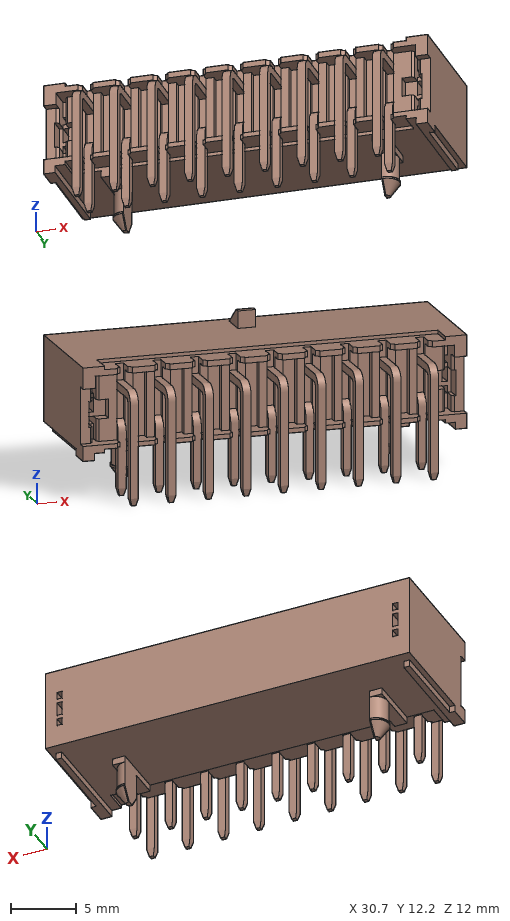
import cadquery as cq


length = 30.7
half_length = length / 2
depth = 9.85
bottom_z = 3.75
top_z = 10.6
foot_z = 3.2

recess_depth = 0.28
recess_half_length = half_length - 1.72
recess_y = 1.9
shelf_corner_radius = 0.28
inside_bottom_z = 4.4
inside_top_z = 9.85

wall_y = 0.98
groove_width = 1.1
groove_depth = 0.58

pin_count = 9
pin_row_length = 24.0
pitch = pin_row_length / (pin_count - 1)
pin_size = 0.65
upper_pin_front_y = -2.35
upper_pin_top_z = 9.0
lower_pin_front_y = 0.68
lower_pin_top_z = upper_pin_top_z - pitch
bend_radius = 0.98
tip_height = 0.58
tip_size = 0.35
pin_slot_y = 1.38
pin_end_y = 2.45
pin_xs = [(i - (pin_count - 1) / 2) * pitch for i in range(pin_count)]
gap_xs = [x + pitch / 2 for x in pin_xs[:-1]]

gap_outer_x = half_length - 0.98
gap_inner_x = half_length - 1.4
gap_end_y = 1.85
gap_edge_chamfer = 0.18
window_levels = [(5.6, 6.17), (6.5, 7.65), (7.98, 8.6)]
block_pocket_x = half_length - 2.35
block_pocket_levels = (6.17, 7.68)
side_pocket_x = half_length - 0.68
side_pocket_levels = (5.65, 7.68)
notch_y = 0.68
notch_top_z = 8.9

foot_width = 0.92
foot_end_y = 1.8
rail_inset = 0.43
rail_end_y = 8.9

peg_flat_x = half_length - 5.05
peg_y = 5.3
peg_radius = 1.05
peg_collar_z = 1.23
peg_cone_z = 1.07
peg_collar_shift = 0.1
peg_tip_radius = 0.28

latch_width = 1.4
latch_front_y = 7.03
latch_flat_y = 7.52
latch_back_y = 9.2
latch_top_z = 11.97


def block(x, y, z):
    """Box between the limits given as (low, high) pairs."""
    size = (x[1] - x[0], y[1] - y[0], z[1] - z[0])
    return cq.Workplane("XY").box(*size, centered=False).translate((x[0], y[0], z[0]))


def prism(outline, z):
    """Closed XY outline raised between the two levels of z."""
    return cq.Workplane("XY").workplane(offset=z[0]).polyline(outline).close().extrude(z[1] - z[0])


def both_ends(shape):
    """The shape together with its mirror image at the other end."""
    return shape.union(shape.mirror("YZ"))


def housing_body():
    body = block((-half_length, half_length), (0, depth), (bottom_z, top_z))
    recess_x = (-recess_half_length, recess_half_length)
    for z in ((top_z - recess_depth, top_z), (bottom_z, bottom_z + recess_depth)):
        body = body.cut(block(recess_x, (0, recess_y), z))
    return body


def wall_space():
    """Space between the shelves, with grooves between neighbouring pins."""
    inside_z = (inside_bottom_z, inside_top_z)
    space = block((-gap_outer_x, gap_outer_x), (0, wall_y), inside_z)
    for x in gap_xs:
        groove_x = (x - groove_width / 2, x + groove_width / 2)
        space = space.union(block(groove_x, (0, wall_y + groove_depth), inside_z))
    return space


def pin_slots():
    """Slots for the pins through both shelves, rounded out at the mouth."""
    slots = []
    half = pin_size / 2
    mouth = half + shelf_corner_radius
    for x in pin_xs:
        slot = (
            cq.Workplane("XY")
            .workplane(offset=bottom_z)
            .moveTo(x - mouth, 0)
            .radiusArc((x - half, shelf_corner_radius), shelf_corner_radius)
            .lineTo(x - half, pin_slot_y)
            .lineTo(x + half, pin_slot_y)
            .lineTo(x + half, shelf_corner_radius)
            .radiusArc((x + mouth, 0), shelf_corner_radius)
            .close()
            .extrude(top_z - bottom_z)
        )
        slots.append(slot)
    return slots


def end_gaps():
    """Gap, pockets and windows at each end, and the cutback of the side walls."""
    inside_z = (inside_bottom_z, inside_top_z)
    notch_z = (inside_bottom_z, notch_top_z)
    gap_x = (gap_inner_x, gap_outer_x)
    cutter = block(gap_x, (0, gap_end_y), inside_z)
    cutter = cutter.union(block((gap_outer_x, half_length), (0, notch_y), notch_z))

    block_edge = [
        (gap_inner_x - gap_edge_chamfer, wall_y),
        (gap_inner_x, wall_y),
        (gap_inner_x, wall_y + gap_edge_chamfer),
    ]
    cutter = cutter.union(prism(block_edge, inside_z))
    side_edge = [
        (gap_outer_x + gap_edge_chamfer, notch_y),
        (gap_outer_x, notch_y),
        (gap_outer_x, notch_y + gap_edge_chamfer),
    ]
    cutter = cutter.union(prism(side_edge, notch_z))

    cutter = cutter.union(block((block_pocket_x, gap_outer_x), (0, gap_end_y), block_pocket_levels))
    cutter = cutter.union(block((gap_inner_x, side_pocket_x), (0, gap_end_y), side_pocket_levels))
    for levels in window_levels:
        cutter = cutter.union(block(gap_x, (0, depth), levels))
    return both_ends(cutter)


def feet():
    z = (foot_z, bottom_z)
    inner_x = half_length - foot_width
    foot = block((inner_x, half_length), (0, foot_end_y), z)
    rail = block((inner_x, half_length - rail_inset), (0, rail_end_y), z)
    return both_ends(foot.union(rail))


def half_round(outline):
    """Outer half of the solid turned from a (radius, Z) outline about the peg axis."""
    turned = cq.Workplane("XZ").polyline(outline).close().revolve(180, (0, 0), (0, 1))
    return turned.rotate((0, 0, 0), (0, 0, 1), -90).translate((peg_flat_x, peg_y, 0))


def pegs():
    """Half-round pegs with an offset collar and conical end, each below a pad."""
    shank = half_round([(0, peg_cone_z), (peg_radius, peg_cone_z), (peg_radius, bottom_z), (0, bottom_z)])
    cone = half_round(
        [
            (0, 0),
            (peg_tip_radius, 0),
            (peg_radius, peg_cone_z),
            (peg_radius, peg_collar_z),
            (0, peg_collar_z),
        ]
    )
    tip = cone.union(cone.translate((peg_collar_shift, 0, 0)))
    pad_x = (peg_flat_x, peg_flat_x + peg_radius)
    pad = block(pad_x, (recess_y, peg_y + peg_radius), (foot_z, bottom_z + recess_depth))
    return both_ends(shank.union(tip).union(pad))


def latch():
    outline = [
        (latch_front_y, top_z),
        (latch_front_y, latch_top_z),
        (latch_flat_y, latch_top_z),
        (latch_back_y, top_z),
    ]
    return cq.Workplane("YZ").polyline(outline).close().extrude(latch_width / 2, both=True)


def pin(x, front_y, pin_top_z):
    """Square pin bent from the housing down to a tapered tip."""
    inner_radius = bend_radius - pin_size
    back_y = front_y + pin_size
    bend_y = front_y + bend_radius
    bend_z = pin_top_z - bend_radius
    bent = (
        cq.Workplane("YZ")
        .moveTo(front_y, tip_height)
        .lineTo(front_y, bend_z)
        .radiusArc((bend_y, pin_top_z), bend_radius)
        .lineTo(pin_end_y, pin_top_z)
        .lineTo(pin_end_y, pin_top_z - pin_size)
        .lineTo(bend_y, pin_top_z - pin_size)
        .radiusArc((back_y, bend_z), -inner_radius)
        .lineTo(back_y, tip_height)
        .close()
        .extrude(pin_size / 2, both=True)
    )
    tip = (
        cq.Workplane("XY")
        .center(0, front_y + pin_size / 2)
        .rect(tip_size, tip_size)
        .workplane(offset=tip_height)
        .rect(pin_size, pin_size)
        .loft()
    )
    return bent.union(tip).translate((x, 0, 0))


housing = housing_body().cut(wall_space())
for pin_slot in pin_slots():
    housing = housing.cut(pin_slot)
housing = housing.cut(end_gaps())

result = housing.union(feet()).union(pegs()).union(latch())
for pin_x in pin_xs:
    result = result.union(pin(pin_x, upper_pin_front_y, upper_pin_top_z))
    result = result.union(pin(pin_x, lower_pin_front_y, lower_pin_top_z))